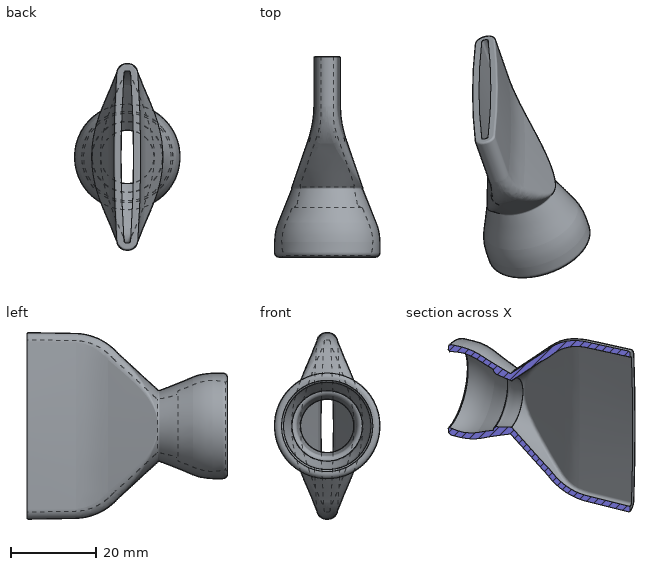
import cadquery as cq
import math

LENGTH = 47.21
WALL = 1.7
TOLERANCE = 0.01

SOCKET_RADIUS = 12.425
SOCKET_CENTER_Y = 3.5
SOCKET_TAPER = math.radians(21.9)
MOUTH_ROUND = 1.16
LIP_CHAMFER = 0.45
STEP_Y = 11.7
STEP_ROUND = 1.25
THROAT_RADIUS = 6.27
THROAT_END_Y = 16.5

NECK_Y = 16.2
NECK_RADIUS = SOCKET_RADIUS / math.cos(SOCKET_TAPER) - (NECK_Y - SOCKET_CENTER_Y) * math.tan(SOCKET_TAPER)
NECK_ROUND = 0.35

TIP_HALF_HEIGHT = 21.96
TIP_DRAFT = math.radians(0.96)
FLARE_ANGLE = math.radians(42.9)
SHOULDER_RADIUS = 13.8
NOZZLE_ROOT_Y = 15.5

TIP_HALF_THICKNESS = 3.15
SIDE_ANGLE = math.radians(18.8)
SIDE_BEND_Y = 31.7
SIDE_BEND_RADIUS = 23.3
CHANNEL_BEND_RADIUS = 12.8
BOW_RADIUS = 290.0

EDGE_ROUND = 2.35
FADED_ROUND = 0.05
NECK_ZONE_END_Y = NECK_Y + 1.0
TIP_ROUND = 0.44


def spun_about_y(profile):
    """Solid of revolution about the Y axis from a closed (radius, Y) outline."""
    return profile.revolve(360, (0, 0, 0), (0, 1, 0))


def flare_body(inset):
    """Round body whose radius is the half height of the nozzle, moved inward by inset."""
    tip_radius = TIP_HALF_HEIGHT - inset
    flare_slope = math.tan(FLARE_ANGLE)
    draft_slope = math.tan(TIP_DRAFT)
    neck_radius = NECK_RADIUS - inset / math.cos(FLARE_ANGLE)
    root_radius = neck_radius - (NECK_Y - NOZZLE_ROOT_Y) * flare_slope

    tip_radius_at_neck = tip_radius - (LENGTH - NECK_Y) * draft_slope
    corner_y = NECK_Y + (tip_radius_at_neck - neck_radius) / (flare_slope - draft_slope)
    corner_radius = tip_radius - (LENGTH - corner_y) * draft_slope
    arc_radius = SHOULDER_RADIUS - inset
    tangent_length = arc_radius * math.tan((FLARE_ANGLE - TIP_DRAFT) / 2)
    flare_end = (
        corner_radius - tangent_length * math.sin(FLARE_ANGLE),
        corner_y - tangent_length * math.cos(FLARE_ANGLE),
    )
    tip_start = (
        corner_radius + tangent_length * math.sin(TIP_DRAFT),
        corner_y + tangent_length * math.cos(TIP_DRAFT),
    )
    center_r = tip_start[0] - arc_radius * math.cos(TIP_DRAFT)
    center_y = tip_start[1] + arc_radius * math.sin(TIP_DRAFT)
    middle_angle = (FLARE_ANGLE + TIP_DRAFT) / 2
    arc_middle = (
        center_r + arc_radius * math.cos(middle_angle),
        center_y - arc_radius * math.sin(middle_angle),
    )
    profile = (
        cq.Workplane("XY")
        .moveTo(0, NOZZLE_ROOT_Y)
        .lineTo(root_radius, NOZZLE_ROOT_Y)
        .lineTo(*flare_end)
        .threePointArc(arc_middle, tip_start)
        .lineTo(tip_radius, LENGTH)
        .lineTo(0, LENGTH)
        .close()
    )
    return spun_about_y(profile).rotate((0, 0, 0), (0, 1, 0), 90)


def side_body(inset, bend_radius):
    """Huge disc whose +X rim is one broad side of the nozzle, moved inward by inset."""
    tip_x = TIP_HALF_THICKNESS - inset
    axis_x = TIP_HALF_THICKNESS - BOW_RADIUS
    half_angle = SIDE_ANGLE / 2
    bend_y = SIDE_BEND_Y - inset * math.tan(half_angle)
    bend_start_y = bend_y + bend_radius * math.tan(half_angle)

    def bend_point(angle):
        return (
            tip_x + bend_radius * (1 - math.cos(angle)),
            bend_start_y - bend_radius * math.sin(angle),
        )

    root_x = tip_x + (bend_y - NOZZLE_ROOT_Y) * math.tan(SIDE_ANGLE)
    profile = (
        cq.Workplane("XY")
        .moveTo(axis_x, NOZZLE_ROOT_Y)
        .lineTo(root_x, NOZZLE_ROOT_Y)
        .lineTo(*bend_point(SIDE_ANGLE))
        .threePointArc(bend_point(half_angle), (tip_x, bend_start_y))
        .lineTo(tip_x, LENGTH)
        .lineTo(axis_x, LENGTH)
        .close()
    )
    axis_start = (axis_x, 0, 0)
    axis_end = (axis_x, 1, 0)
    return profile.revolve(360, axis_start, axis_end).rotate(axis_start, axis_end, 180)


def sharp_nozzle(inset, bend_radius):
    """Flat nozzle before its edges are rounded, with every face moved inward by inset."""
    side = side_body(inset, bend_radius)
    return flare_body(inset).intersect(side).intersect(side.mirror("YZ"))


def upper_half(solid):
    box_size = 3 * LENGTH
    box = cq.Workplane("XY").box(box_size, box_size, box_size, centered=(True, True, False))
    return solid.intersect(box)


def round_long_edges(half_nozzle):
    """Round the long edges (the only spline edges) with a radius that fades out at the neck."""
    kernel = cq.occ_impl.shapes
    solid = half_nozzle.val()
    builder = kernel.BRepFilletAPI_MakeFillet(solid.wrapped)
    for edge in solid.Edges():
        if edge.geomType() != "BSPLINE":
            continue
        start_y = edge.startPoint().y
        end_y = edge.endPoint().y
        if min(start_y, end_y) > NECK_ZONE_END_Y:
            builder.Add(EDGE_ROUND, edge.wrapped)
        elif start_y < end_y:
            builder.Add(FADED_ROUND, EDGE_ROUND, edge.wrapped)
        else:
            builder.Add(EDGE_ROUND, FADED_ROUND, edge.wrapped)
    return cq.Workplane(kernel.Shape.cast(builder.Shape()))


def nozzle_outside():
    """Nozzle without its channel; each half is rounded on its own, then mirrored."""
    half = round_long_edges(upper_half(sharp_nozzle(0, SIDE_BEND_RADIUS)))
    return half.union(half.mirror("XY")).faces(">Y").edges().fillet(TIP_ROUND)


def nozzle_channel():
    """Flat channel that follows the outside one wall thickness further in."""
    return sharp_nozzle(WALL, CHANNEL_BEND_RADIUS).edges("%BSPLINE").fillet(EDGE_ROUND - WALL)


def sphere_point(radius, angle):
    """(radius, Y) of a point on a sphere of the socket, angle measured from its equator."""
    return (radius * math.cos(angle), SOCKET_CENTER_Y + radius * math.sin(angle))


def socket_outside():
    """Short cylinder, sphere and cone, each tangent to the next, with a rounded mouth."""
    arc_middle = sphere_point(SOCKET_RADIUS, SOCKET_TAPER / 2)
    cone_start = sphere_point(SOCKET_RADIUS, SOCKET_TAPER)
    profile = (
        cq.Workplane("XY")
        .lineTo(SOCKET_RADIUS, 0)
        .lineTo(SOCKET_RADIUS, SOCKET_CENTER_Y)
        .threePointArc(arc_middle, cone_start)
        .lineTo(NECK_RADIUS, NECK_Y)
        .lineTo(0, NECK_Y)
        .close()
    )
    return spun_about_y(profile).faces("<Y").edges().fillet(MOUTH_ROUND)


def socket_cavity():
    """Ball seat, cone, step with a rounded inner edge and throat."""
    seat_radius = SOCKET_RADIUS - WALL
    lip_radius = math.sqrt(seat_radius**2 - (SOCKET_CENTER_Y - LIP_CHAMFER) ** 2)
    cone_start = sphere_point(seat_radius, SOCKET_TAPER)
    step_radius = cone_start[0] - (STEP_Y - cone_start[1]) * math.tan(SOCKET_TAPER)
    diagonal = STEP_ROUND * math.sqrt(0.5)
    round_middle = (step_radius - diagonal, STEP_Y + STEP_ROUND - diagonal)
    round_end = (step_radius - STEP_ROUND, STEP_Y + STEP_ROUND)
    profile = (
        cq.Workplane("XY")
        .lineTo(lip_radius + LIP_CHAMFER, 0)
        .lineTo(lip_radius, LIP_CHAMFER)
        .threePointArc((seat_radius, SOCKET_CENTER_Y), cone_start)
        .lineTo(step_radius, STEP_Y)
        .threePointArc(round_middle, round_end)
        .lineTo(THROAT_RADIUS, THROAT_END_Y)
        .lineTo(0, THROAT_END_Y)
        .close()
    )
    return spun_about_y(profile)


def round_neck(body):
    """Small round in the groove between the socket and the nozzle."""
    reach = NECK_RADIUS + NECK_ROUND
    low_corner = (-reach, NECK_Y - TOLERANCE, -reach)
    high_corner = (reach, NECK_Y + TOLERANCE, reach)
    groove = cq.selectors.BoxSelector(low_corner, high_corner, boundingbox=True)
    return body.edges(groove).fillet(NECK_ROUND)


body = round_neck(nozzle_outside().union(socket_outside()))
result = body.cut(socket_cavity()).cut(nozzle_channel())